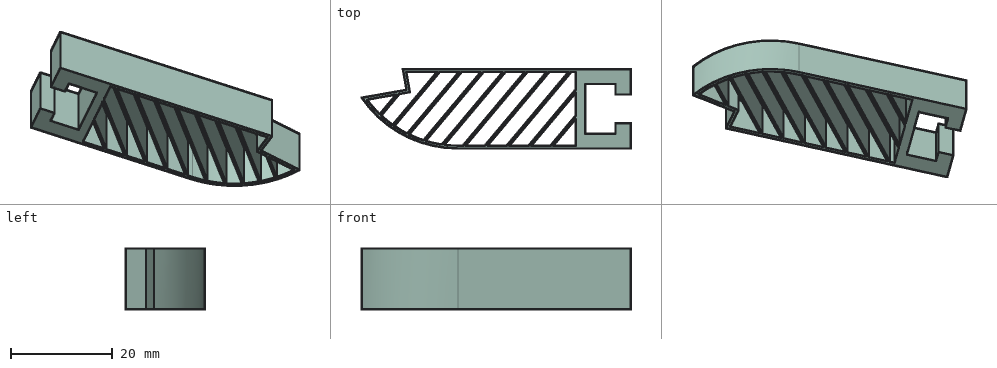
import cadquery as cq
import math

length = 52.8
width = 15.6
height = 12.0
wall = 0.6

tip_y = 10.0
notch_tilt = math.radians(10)
tip_edge_length = 8.9
nose_arc_end_x = 18.9
notch_corner_x = tip_edge_length * math.cos(notch_tilt)
notch_corner_y = tip_y + tip_edge_length * math.sin(notch_tilt)

nose_radius = (nose_arc_end_x**2 + tip_y**2) / (2 * tip_y)

channel_block_start_x = 42.0
channel_floor_x = 43.9
lip_start_x = 49.8
channel_width = 9.7
channel_mouth_width = 5.6
channel_center_y = width / 2

rib_angle = math.radians(50)
rib_thickness = 0.4
rib_pitch_x = 4.3
rib_count = 10
first_rib_x = -2.13


def block(x_start, x_end, y_center, y_size):
    """Full-height block between two X positions, centred on a Y position."""
    return (
        cq.Workplane("XY")
        .center((x_start + x_end) / 2, y_center)
        .rect(x_end - x_start, y_size)
        .extrude(height)
    )


def outline_solid(inset, end_x):
    """Solid inside the outline moved inward by an inset, ending at a given X position."""
    along = (math.cos(notch_tilt), math.sin(notch_tilt))

    corner_x = notch_corner_x + inset * (along[0] + along[1])
    corner_y = notch_corner_y + inset * (along[1] - along[0])
    top_y = width - inset
    notch_top_x = corner_x - (top_y - corner_y) * math.tan(notch_tilt)

    radius = nose_radius - inset
    from_center_x = corner_x - nose_arc_end_x
    from_center_y = corner_y - nose_radius
    toward_corner = from_center_x * along[0] + from_center_y * along[1]
    center_distance_squared = from_center_x**2 + from_center_y**2
    edge_length = toward_corner + math.sqrt(toward_corner**2 - center_distance_squared + radius**2)
    inset_tip_x = corner_x - edge_length * along[0]
    inset_tip_y = corner_y - edge_length * along[1]

    half_sweep = math.atan2(nose_arc_end_x - inset_tip_x, nose_radius - inset_tip_y) / 2
    arc_middle = (
        nose_arc_end_x - radius * math.sin(half_sweep),
        nose_radius - radius * math.cos(half_sweep),
    )
    profile = (
        cq.Workplane("XY")
        .moveTo(inset_tip_x, inset_tip_y)
        .threePointArc(arc_middle, (nose_arc_end_x, inset))
        .lineTo(end_x, inset)
        .lineTo(end_x, top_y)
        .lineTo(notch_top_x, top_y)
        .lineTo(corner_x, corner_y)
        .close()
    )
    return profile.extrude(height)


def rib(start_x, end_y):
    """Diagonal plate rising from Y = 0 to an end Y position."""
    run_x = end_y / math.tan(rib_angle)
    rib_width_x = rib_thickness / math.sin(rib_angle)
    return (
        cq.Workplane("XY")
        .moveTo(start_x, 0)
        .lineTo(start_x + rib_width_x, 0)
        .lineTo(start_x + rib_width_x + run_x, end_y)
        .lineTo(start_x + run_x, end_y)
        .close()
        .extrude(height)
    )


def ribs():
    """Evenly spaced ribs across the hollow; the first one stops at the notch."""
    plates = rib(first_rib_x, notch_corner_y)
    for index in range(1, rib_count):
        plates = plates.union(rib(first_rib_x + index * rib_pitch_x, width))
    return plates


def channel():
    """T-shaped channel, open toward +X through a narrower mouth."""
    cavity = block(channel_floor_x, lip_start_x, channel_center_y, channel_width)
    mouth = block(lip_start_x, length, channel_center_y, channel_mouth_width)
    return cavity.union(mouth)


body = outline_solid(0, length)
hollow = outline_solid(wall, channel_block_start_x)
result = body.cut(hollow.cut(ribs())).cut(channel())